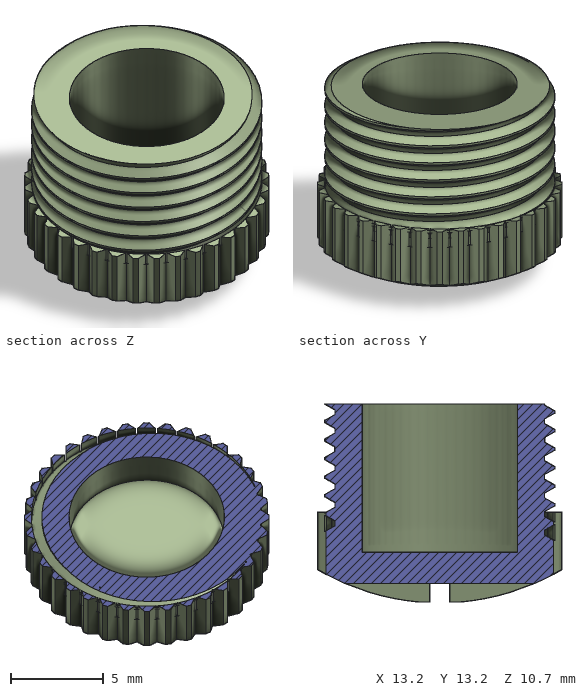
import cadquery as cq
import math

total_height = 10.7
shoulder_height = 4.85
dome_rim_height = 1.75
dome_flat_radius = 1.25

head_radius = 6.605
knurl_count = 36
knurl_tip_radius = 6.16
knurl_half_angle = math.radians(45)
knurl_overshoot = 0.4

pitch = 1.0
thread_radius = 6.22
root_radius = 5.67
crest_width = pitch / 8
root_width = pitch / 4
groove_start_height = 3.75
thread_overshoot = 0.03
collar_overlap = 0.01

head_turns = 2
upper_turns = math.ceil((total_height - groove_start_height) / pitch) + 1 - head_turns
blank_height = groove_start_height + (head_turns + upper_turns + 1) * pitch

bore_radius = 4.18
bore_depth = 8.0
slot_width = 1.06
slot_depth = 1.0


def make_thread_groove(start_height, turns):
    """Helical groove of trapezoid section, starting on the +X side."""
    outer_radius = thread_radius + thread_overshoot
    flank_slope = (pitch - crest_width - root_width) / 2 / (thread_radius - root_radius)
    half_root = root_width / 2
    half_mouth = half_root + flank_slope * (outer_radius - root_radius)
    helix = cq.Workplane(obj=cq.Wire.makeHelix(pitch, turns * pitch, root_radius))
    return (
        cq.Workplane("XZ")
        .polyline(
            [
                (root_radius, -half_root),
                (root_radius, half_root),
                (outer_radius, half_mouth),
                (outer_radius, -half_mouth),
            ]
        )
        .close()
        .sweep(helix, isFrenet=True)
        .translate((0, 0, start_height))
    )


def make_core():
    """Over-long cylinder that carries the thread, with the groove turns that start in the head."""
    core = cq.Workplane("XY").circle(thread_radius).extrude(blank_height)
    return core.cut(make_thread_groove(groove_start_height, head_turns))


def make_head_collar():
    """Ring that closes over the lower end of the core and its first groove turn."""
    return (
        cq.Workplane("XY")
        .circle(head_radius)
        .circle(thread_radius - collar_overlap)
        .extrude(shoulder_height)
    )


def make_dome_envelope():
    """Space above the domed end face, a sphere with a flat at its lowest part."""
    centre_height = (head_radius**2 + dome_rim_height**2 - dome_flat_radius**2) / (2 * dome_rim_height)
    sphere_radius = math.hypot(dome_flat_radius, centre_height)
    flat_edge_angle = math.asin(dome_flat_radius / sphere_radius)
    rim_angle = math.asin(head_radius / sphere_radius)
    middle_angle = (flat_edge_angle + rim_angle) / 2
    arc_middle = (
        sphere_radius * math.sin(middle_angle),
        centre_height - sphere_radius * math.cos(middle_angle),
    )
    return (
        cq.Workplane("XZ")
        .lineTo(dome_flat_radius, 0)
        .threePointArc(arc_middle, (head_radius, dome_rim_height))
        .lineTo(head_radius, blank_height)
        .lineTo(0, blank_height)
        .close()
        .revolve(360, (0, 0, 0), (0, 1, 0))
    )


def make_knurl_grooves():
    """V grooves parallel to the axis, spaced evenly round the head."""
    mouth_radius = head_radius + knurl_overshoot
    half_mouth = (mouth_radius - knurl_tip_radius) * math.tan(knurl_half_angle)
    groove = (
        cq.Workplane("XY")
        .polyline([(knurl_tip_radius, 0), (mouth_radius, half_mouth), (mouth_radius, -half_mouth)])
        .close()
        .extrude(shoulder_height)
    )
    grooves = [
        groove.rotate((0, 0, 0), (0, 0, 1), index * 360 / knurl_count).val()
        for index in range(knurl_count)
    ]
    return cq.Workplane(obj=cq.Compound.makeCompound(grooves))


def make_top_waste():
    """Over-long end of the core, above the finished height."""
    return (
        cq.Workplane("XY", origin=(0, 0, total_height))
        .circle(head_radius)
        .extrude(blank_height - total_height)
    )


def make_bore():
    """Flat-bottomed bore, open at the threaded end."""
    return (
        cq.Workplane("XY", origin=(0, 0, total_height - bore_depth))
        .circle(bore_radius)
        .extrude(bore_depth)
    )


def make_cross_slot():
    """Two slots at right angles, running right across the dome."""
    length = 2 * head_radius
    along_x = cq.Workplane("XY").rect(length, slot_width).extrude(slot_depth)
    along_y = cq.Workplane("XY").rect(slot_width, length).extrude(slot_depth)
    return along_x.union(along_y)


domed_body = make_core().union(make_head_collar()).intersect(make_dome_envelope())
knurled_body = domed_body.cut(make_knurl_grooves())
upper_groove = make_thread_groove(groove_start_height + head_turns * pitch, upper_turns)
threaded_body = knurled_body.cut(upper_groove).cut(make_top_waste())
result = threaded_body.cut(make_bore()).cut(make_cross_slot())